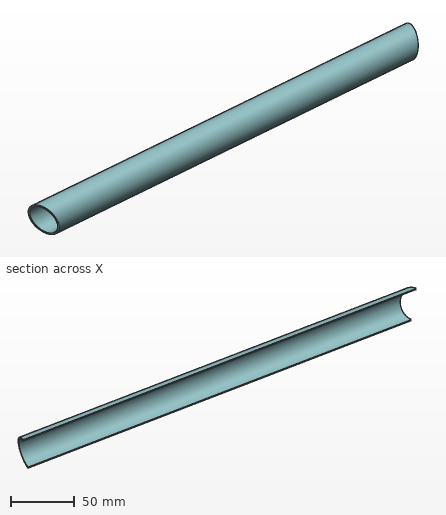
import cadquery as cq

length = 389.8
outer_diameter = 28.0
wall = 1.52
cut_drop = 9.0
long_side_angle = 145.0

outer_radius = outer_diameter / 2
inner_radius = outer_radius - wall
half_length = length / 2

profile_margin = 4.0
profile_half_width = outer_radius + profile_margin
margin_drop = cut_drop * profile_margin / outer_diameter
long_half = half_length + margin_drop
short_half = half_length - cut_drop - margin_drop
trimmed_block = (
    cq.Workplane("XY")
    .polyline([
        (profile_half_width, -long_half),
        (profile_half_width, long_half),
        (-profile_half_width, short_half),
        (-profile_half_width, -short_half),
    ])
    .close()
    .extrude(profile_half_width, both=True)
)

tube = (
    cq.Workplane("XZ")
    .circle(outer_radius)
    .circle(inner_radius)
    .extrude(half_length, both=True)
    .intersect(trimmed_block)
)

result = tube.rotate((0, 0, 0), (0, 1, 0), -long_side_angle)